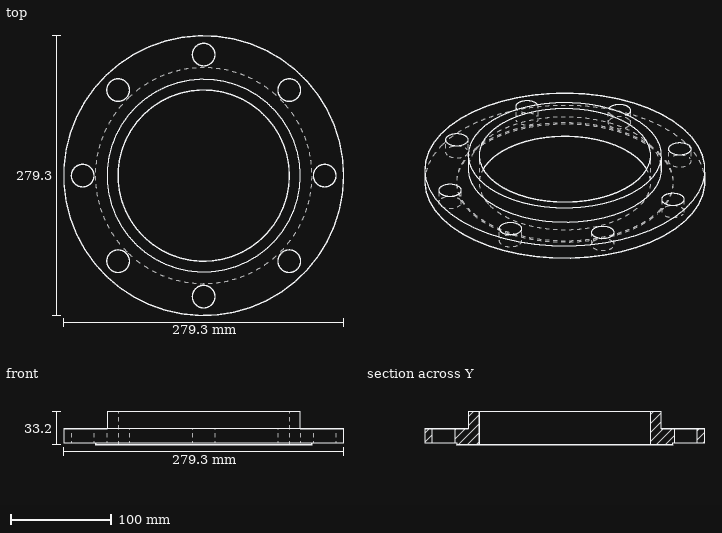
import cadquery as cq

flange_diameter = 279.3
hub_diameter = 192.5
bore_diameter = 170.7
raised_face_diameter = 216.0

total_height = 33.2
raised_face_height = 1.7
hub_height = 17.0
plate_thickness = total_height - raised_face_height - hub_height

bolt_circle_diameter = 241.3
bolt_hole_diameter = 22.3
bolt_count = 8


def disc(diameter, bottom, height):
    """Upright cylinder on the Z axis, starting at the given level."""
    return cq.Workplane("XY").workplane(offset=bottom).circle(diameter / 2).extrude(height)


plate_top = raised_face_height + plate_thickness
raised_face = disc(raised_face_diameter, 0, raised_face_height)
plate = disc(flange_diameter, raised_face_height, plate_thickness)
hub = disc(hub_diameter, plate_top, hub_height)
body = raised_face.union(plate).union(hub)

bore = disc(bore_diameter, 0, total_height)

bolt_holes = (
    cq.Workplane("XY")
    .polarArray(bolt_circle_diameter / 2, 0, 360, bolt_count)
    .circle(bolt_hole_diameter / 2)
    .extrude(total_height)
)

result = body.cut(bore).cut(bolt_holes)